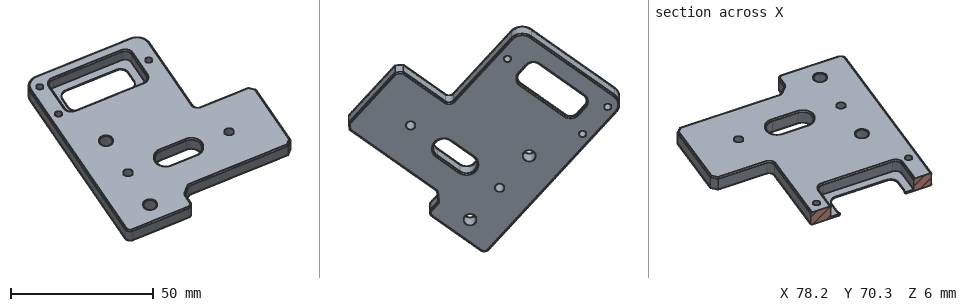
import cadquery as cq

length = 78.2
width = 70.27
thickness = 6.0
edge_chamfer = 0.5
left_block_width = 47.3
tower_width = 30.0
tab_length = 9.0
tab_width = 26.0
tower_right = length - tab_length
tower_left = tower_right - tower_width

left_radius = 5.0
step_radius = 2.0
tower_chamfer = 2.0
tab_radius = 2.0
notch_chamfer = 3.0
notch_radius = 1.5

pattern_x = (tower_left + tower_right) / 2
pattern_y = 32.8
dowel_diameter = 3.33
dowel_spacing = 40.0
bolt_diameter = 4.5
bolt_spacing = 33.0
bolt_chamfer = 0.25
slot_length = 17.6
slot_width = 7.5
lower_row_y = pattern_y - dowel_spacing / 2

window_x = 12.1
window_y = 23.2
window_length = 26.0
window_width = 10.2
window_radius = 3.0
pocket_length = 32.2
pocket_width = 16.15
pocket_radius = 2.5
floor_thickness = 1.0

screw_diameter = 2.53
screw_spacing = 14.0
screw_lower_y = 3.8
screw_upper_y = 43.2


def corner(body, x, y):
    """Select the vertical outline edge standing at (x, y)."""
    reach = 0.01
    box = cq.selectors.BoxSelector(
        (x - reach, y - reach, -reach),
        (x + reach, y + reach, thickness + reach),
        boundingbox=True,
    )
    return body.edges(box)


def make_plate():
    outline = [
        (0, 0),
        (length, 0),
        (length, tab_width),
        (tower_right, tab_width),
        (tower_right, width),
        (tower_left, width),
        (tower_left, left_block_width),
        (0, left_block_width),
    ]
    plate = cq.Workplane("XY").polyline(outline).close().extrude(thickness)
    for y in (0, left_block_width):
        plate = corner(plate, 0, y).fillet(left_radius)
    plate = corner(plate, tower_left, left_block_width).fillet(step_radius)
    for x in (tower_left, tower_right):
        plate = corner(plate, x, width).chamfer(tower_chamfer)
    for y in (0, tab_width):
        plate = corner(plate, length, y).fillet(tab_radius)
    plate = corner(plate, tower_right, tab_width).chamfer(notch_chamfer)
    plate = corner(plate, tower_right, tab_width + notch_chamfer).fillet(notch_radius)
    plate = corner(plate, tower_right + notch_chamfer, tab_width).fillet(notch_radius)
    return plate.faces("<Z or >Z").chamfer(edge_chamfer)


def rounded_slab(centre, size, radius, bottom):
    """Upright block with rounded corners, from the given height to the plate top."""
    slab = cq.Workplane("XY", origin=(0, 0, bottom)).center(*centre).rect(*size)
    return slab.extrude(thickness - bottom).edges("|Z").fillet(radius)


def chamfer_rim(plate, centre, size, z, chamfer):
    """Chamfer the rim of an opening of the given size, on the face at height z."""
    clearance = 0.1
    x, y = centre
    reach_x = size[0] / 2 + clearance
    reach_y = size[1] / 2 + clearance
    rim = cq.selectors.BoxSelector(
        (x - reach_x, y - reach_y, z - clearance),
        (x + reach_x, y + reach_y, z + clearance),
    )
    return plate.edges(rim).chamfer(chamfer)


def cut_window(plate):
    centre = (window_x, window_y)
    window_size = (window_width, window_length)
    pocket_size = (pocket_width, pocket_length)
    plate = plate.cut(rounded_slab(centre, window_size, window_radius, 0))
    plate = plate.cut(rounded_slab(centre, pocket_size, pocket_radius, floor_thickness))
    plate = chamfer_rim(plate, centre, pocket_size, thickness, edge_chamfer)
    return chamfer_rim(plate, centre, window_size, 0, edge_chamfer)


def cut_slot(plate):
    centre = (pattern_x, pattern_y)
    slot = cq.Workplane("XY").center(*centre).slot2D(slot_length, slot_width, 90).extrude(thickness)
    plate = plate.cut(slot)
    for z in (0, thickness):
        plate = chamfer_rim(plate, centre, (slot_width, slot_length), z, edge_chamfer)
    return plate


def drill(plate, points, diameter):
    drills = cq.Workplane("XY").pushPoints(points).circle(diameter / 2).extrude(thickness)
    return plate.cut(drills)


def drill_bolt_holes(plate):
    points = [(pattern_x + side * bolt_spacing / 2, lower_row_y) for side in (-1, 1)]
    plate = drill(plate, points, bolt_diameter)
    for point in points:
        plate = chamfer_rim(plate, point, (bolt_diameter, bolt_diameter), thickness, bolt_chamfer)
    return plate


dowel_points = [(pattern_x, pattern_y + side * dowel_spacing / 2) for side in (-1, 1)]
screw_points = [(window_x + side * screw_spacing / 2, screw_lower_y) for side in (-1, 1)]
screw_points.append((window_x, screw_upper_y))

result = make_plate()
result = cut_window(result)
result = cut_slot(result)
result = drill_bolt_holes(result)
result = drill(result, dowel_points, dowel_diameter)
result = drill(result, screw_points, screw_diameter)